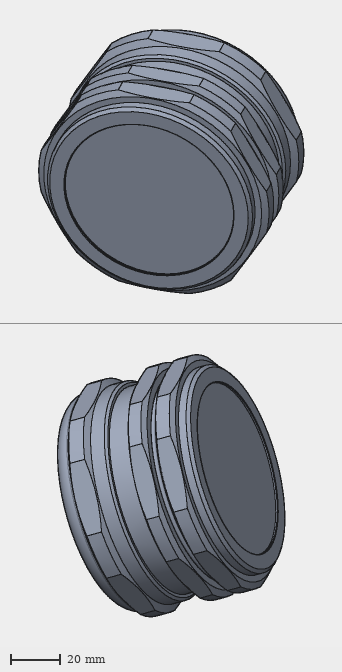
import cadquery as cq
import math

length = 61.7
across_flats = 94.0
across_corners = 98.9

sleeve_diameter = 88.0
front_chamfer = 1.4
groove_bottom = 15.9
groove_depth = 1.1
ring_end = 17.8

cap_diameter = 93.0
cap_start = 36.5
cap_chamfer = 1.1
dome_radius = 7.0

recess_diameter = 72.5
recess_depth = 1.0
rim_chamfer = 0.3

nut_face_diameter = 93.55
nut_chamfer = 1.5
front_nut = (4.8, 9.2, nut_face_diameter, nut_chamfer)
middle_nut = (ring_end, 8.7, nut_face_diameter, nut_chamfer)
cap_nut = (43.8, 10.3, cap_diameter, 1.8)


def turned_body():
    """Sleeve, groove, seal ring and domed cap, turned in one profile of (radius, Y) points."""
    sleeve = sleeve_diameter / 2
    cap = cap_diameter / 2
    dome_start = length - dome_radius
    dome_center = cap - dome_radius
    diagonal = dome_radius * math.sqrt(0.5)
    ring_middle = (groove_bottom + ring_end) / 2
    return (
        cq.Workplane("XY")
        .lineTo(sleeve - front_chamfer, 0)
        .lineTo(sleeve, front_chamfer)
        .lineTo(sleeve, groove_bottom - groove_depth)
        .lineTo(sleeve - groove_depth, groove_bottom)
        .threePointArc((sleeve, ring_middle), (sleeve - groove_depth, ring_end))
        .lineTo(sleeve, ring_end)
        .lineTo(sleeve, cap_start)
        .lineTo(cap - cap_chamfer, cap_start)
        .lineTo(cap, cap_start + cap_chamfer)
        .lineTo(cap, dome_start)
        .threePointArc((dome_center + diagonal, dome_start + diagonal), (dome_center, length))
        .lineTo(0, length)
        .close()
        .revolve(360, (0, 0, 0), (0, 1, 0))
    )


def hexagon_nut(start, width, face_diameter, chamfer):
    """Hexagon with flats facing +Z and -Z, its corners trimmed round and chamfered."""
    hexagon_diameter = across_flats / math.cos(math.pi / 6)
    plane = cq.Workplane("XZ", origin=(0, start, 0))
    hexagon = plane.polygon(6, hexagon_diameter).extrude(-width)
    face = face_diameter / 2
    corner = across_corners / 2
    trim = (
        cq.Workplane("XY")
        .moveTo(0, start)
        .lineTo(face, start)
        .lineTo(corner, start + chamfer)
        .lineTo(corner, start + width - chamfer)
        .lineTo(face, start + width)
        .lineTo(0, start + width)
        .close()
        .revolve(360, (0, 0, 0), (0, 1, 0))
    )
    return hexagon.intersect(trim)


def front_recess():
    """Shallow round pocket with a chamfered rim at the front end."""
    floor = recess_diameter / 2
    return (
        cq.Workplane("XY")
        .lineTo(floor + rim_chamfer, 0)
        .lineTo(floor, rim_chamfer)
        .lineTo(floor, recess_depth)
        .lineTo(0, recess_depth)
        .close()
        .revolve(360, (0, 0, 0), (0, 1, 0))
    )


result = turned_body()
for nut in (front_nut, middle_nut, cap_nut):
    result = result.union(hexagon_nut(*nut))
result = result.cut(front_recess())
result = result.translate((0, -length / 2, 0))